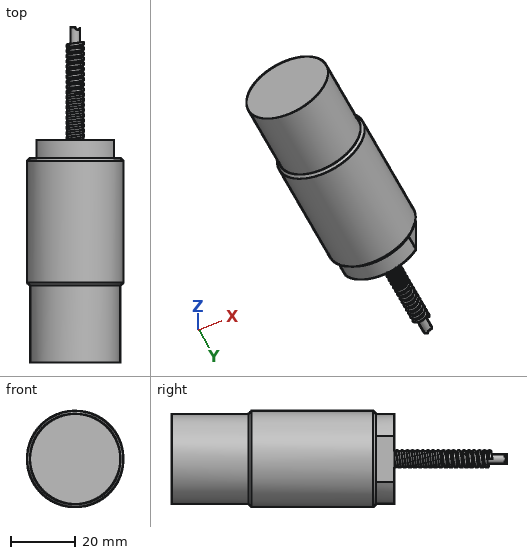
import cadquery as cq
import math

TOTAL_LENGTH = 104.1

NOSE_DIAMETER = 28.0
NOSE_LENGTH = 23.9
BARREL_DIAMETER = 30.0
BARREL_LENGTH = 39.6
BARREL_CHAMFER = 0.9
COLLAR_DIAMETER = NOSE_DIAMETER
COLLAR_LENGTH = 5.6
COLLAR_ACROSS_FLATS = 24.2

CABLE_DIAMETER = 3.0
SLEEVE_DIAMETER = 5.0
SLEEVE_LENGTH = 14.8
COIL_INNER_DIAMETER = 3.5
COIL_WIRE_DIAMETER = 0.9
COIL_TURNS = 18.8
COIL_END_GAP = 5.0
TIP_NOTCH_DEPTH = 0.7
TIP_EDGE_DROP = 0.3

front_y = -TOTAL_LENGTH / 2
barrel_y = front_y + NOSE_LENGTH
collar_y = barrel_y + BARREL_LENGTH
back_y = collar_y + COLLAR_LENGTH
tip_y = TOTAL_LENGTH / 2


def cylinder(diameter, start_y, length):
    """Cylinder on the Y axis, from start_y toward +Y."""
    base = cq.Workplane("XZ", origin=(0, start_y, 0))
    return base.circle(diameter / 2).extrude(-length)


def make_collar():
    """Rear collar with two parallel wrench flats facing -X and +X."""
    collar = cylinder(COLLAR_DIAMETER, collar_y, COLLAR_LENGTH)
    between_flats = cq.Workplane("XY").box(
        COLLAR_ACROSS_FLATS, COLLAR_LENGTH, COLLAR_DIAMETER
    ).translate((0, collar_y + COLLAR_LENGTH / 2, 0))
    return collar.intersect(between_flats)


def make_housing():
    """Nose, chamfered barrel and flatted collar."""
    nose = cylinder(NOSE_DIAMETER, front_y, NOSE_LENGTH)
    barrel = cylinder(BARREL_DIAMETER, barrel_y, BARREL_LENGTH)
    barrel = barrel.faces("<Y or >Y").chamfer(BARREL_CHAMFER)
    return nose.union(barrel).union(make_collar())


def make_coil_turns():
    """Successive turns of a right-handed coil, trimmed at the back of the housing."""
    wire_radius = COIL_WIRE_DIAMETER / 2
    coil_radius = COIL_INNER_DIAMETER / 2 + wire_radius
    coil_end_y = tip_y - COIL_END_GAP
    pitch = (coil_end_y - back_y) / COIL_TURNS
    turn_count = math.ceil(COIL_TURNS + wire_radius / pitch)
    path = cq.Wire.makeHelix(
        pitch, pitch, coil_radius,
        center=cq.Vector(0, coil_end_y, 0), dir=cq.Vector(0, -1, 0),
    )
    section_plane = cq.Plane(
        origin=path.startPoint(), xDir=(1, 0, 0), normal=path.tangentAt(0)
    )
    turn = cq.Workplane(section_plane).circle(wire_radius).sweep(path, isFrenet=True)
    turn = turn.rotate((0, 0, 0), (0, 1, 0), -90)
    housing_space = cylinder(BARREL_DIAMETER, front_y, back_y - front_y)
    return [
        turn.translate((0, -index * pitch, 0)).cut(housing_space)
        for index in range(turn_count)
    ]


def make_tip_notch():
    """Rounded bite out of the +X half of the cable tip."""
    cable_radius = CABLE_DIAMETER / 2
    return (
        cq.Workplane("XY", origin=(0, 0, -cable_radius))
        .moveTo(0, tip_y)
        .threePointArc(
            (cable_radius / 2, tip_y - TIP_NOTCH_DEPTH),
            (cable_radius, tip_y - TIP_EDGE_DROP),
        )
        .lineTo(cable_radius, tip_y)
        .close()
        .extrude(CABLE_DIAMETER)
    )


def make_cord():
    """Cable running out of a sleeve, with the coil partly sunk in the sleeve."""
    cable = cylinder(CABLE_DIAMETER, back_y, tip_y - back_y).cut(make_tip_notch())
    sleeve = cylinder(SLEEVE_DIAMETER, back_y, SLEEVE_LENGTH)
    cord = cable.union(sleeve)
    for turn in make_coil_turns():
        cord = cord.union(turn)
    return cord


housing = make_housing()
cord = make_cord()

result = cq.Compound.makeCompound([housing.solids().val(), cord.solids().val()])